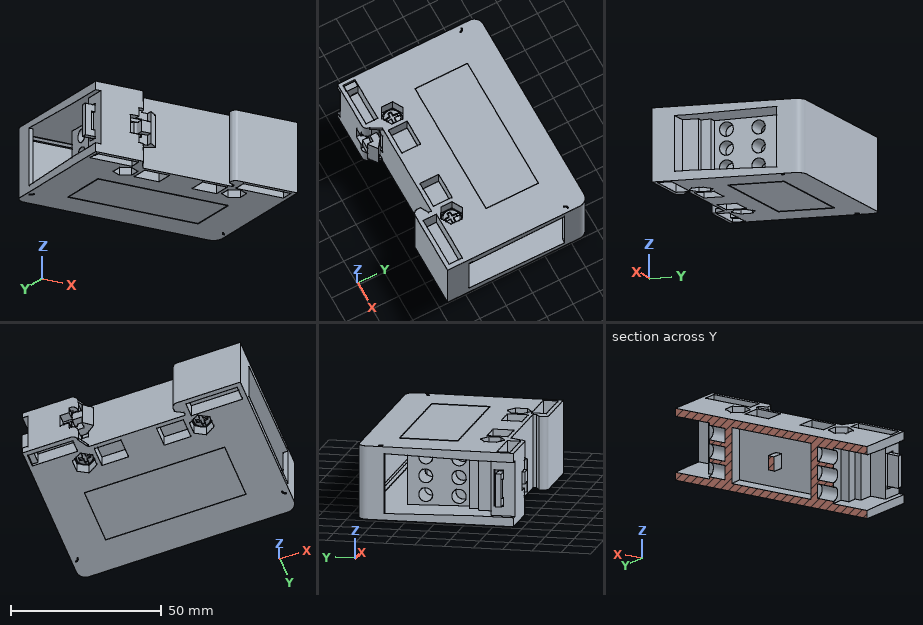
import cadquery as cq
import math


OVERALL_LENGTH = 79.5
LENGTH = 77.8
HEIGHT = 53.4
WIDTH = 25.2
CORNER_R = 3.4
HALF_L = LENGTH / 2
HALF_W = WIDTH / 2

RAIL_Y = 5.6
FOOT_EDGE_R = 1.8
CLIP_WALL_X = -19.7
CLIP_UNDERCUT = 0.2
CLIP_GUSSET_X = -17.5
GUSSET_T = 1.35
NOSE_X = 14.3
NOSE_TOP_Y = 2.95
NOSE_ROOT_X = 17.1
NOSE_ROOT_Y = 4.45

END_WALL = 1.7
BACK_WALL = 0.95
OPENING_TOP_Y = 44.3
OPENING_TOP_HALF_W = 10.25
OPENING_LOW_HALF_W = 9.5
BLOCK_FACE_X = 25.2
BLOCK_INNER_X = 15.9
BLOCK_TOP_Y = 39.3
BLOCK_FOOT_Y = 17.3
SHELF_Y = 13.75
FOOT_TOP_Y = 8.1
BLOCK_STEPS = (0, 3.25, 5.65)
LEDGE_DEPTH = 0.95
LEDGE_CHAMFER = 0.8
FOOT_INSET = 2.0

HOLE_PITCH = 6.4
THROUGH_HOLE_Y = 33.0
THROUGH_HOLE_D = 4.7
BLIND_HOLE_Y = 21.6
BLIND_HOLE_D = 4.85
BLIND_HOLE_DEPTH = 6.35

POST_T = 2.4
POST_W = 5.1
POST_HEAD_W = 13.0
POST_HEAD_H = 1.9
POST_TOP_Y = 40.2

LABEL_SIZE = (50.1, 19.8)
LABEL_CENTER = (-0.15, 31.95)
LABEL_DEPTH = 0.15
SCREW_X = 20.9
SCREW_Y = 11.1
HEX_FLATS = 7.15
HEX_DEPTH = 4.8
SCREW_D = 6.8
SCREW_RIM_H = 0.5
SCREW_CHAMFER = 0.55
SCREW_DOME_H = 0.6
DRIVE_LENGTH = 4.0
DRIVE_W = 1.1
DRIVE_DEPTH = 1.0
SLIT_W = 0.9
SLIT_DEPTH = 0.7
WINDOW_X = (6.35, 15.9)
WINDOW_Y = (7.0, 14.1)
WINDOW_DEPTH = 5.3
SLOT_DEPTH = 6.35
CLIP_SLOT_X = (-37.6, -21.5)
CLIP_SLOT_Y = (1.5, 6.0)
CLIP_SLOT_STEP_X = -35.5
CLIP_SLOT_STEP_DEPTH = 1.2
FIXED_SLOT_X = (18.9, 37.2)
FIXED_SLOT_Y = (1.5, 6.5)
ARC_MARK_X = 37.6
ARC_MARK_Y = 45.15
ARC_MARK_R = 1.3
ARC_MARK_W = 0.3
ARC_MARK_DEPTH = 0.2

CLIP_W = 11.3
CLIP_GAP = 0.55
CLIP_SHELF_Y = 2.15
TAB_X = HALF_L - OVERALL_LENGTH
TAB_Y = (3.9, 5.9)
TAB_WINDOW_Y = (3.9, 7.1)
TAB_WINDOW_DEPTH = 1.2
TAB_NOTCH_X = -38.15
TAB_NOTCH_H = 0.95
CLIP_POCKET_X = -22.2
HOOK_BACK_X = -17.65
HOOK_BOTTOM_X = -17.5
HOOK_TIP = (-14.4, 2.4)
HOOK_TOP_Y = 4.8
HOOK_TONGUE_X = -21.15
TONGUE_W = 4.1
DRIVER_SLOT_X = (-25.45, -20.0)
DRIVER_SLOT_W = 6.4
DRIVER_SLOT_DEPTH = 2.8
TROUGH_RIDGE_X = -22.4


def box(x, y, z):
    """Box spanning the (low, high) pairs x, y and z."""
    size = [high - low for low, high in (x, y, z)]
    return cq.Workplane("XY").box(*size, centered=False).translate((x[0], y[0], z[0]))


def centred_box(x, y, width):
    """Box spanning x and y, centred on the mid-plane of the width."""
    return box(x, y, (-width / 2, width / 2))


def prism(outline, width):
    """Prism of an XY outline, centred on the mid-plane of the width."""
    return outline.close().extrude(width / 2, both=True)


def sunk_box(x, y, depth):
    """Pocket cutter sunk into the upper wide face."""
    return box(x, y, (HALF_W - depth, HALF_W))


def both_ends(shape):
    return shape.union(shape.mirror("YZ"))


def both_faces(shape):
    return shape.union(shape.mirror("XY"))


def body():
    r = FOOT_EDGE_R
    diagonal = r * math.sqrt(0.5)
    wall_x = CLIP_WALL_X - CLIP_UNDERCUT
    round_end_y = r + math.sqrt(r**2 - (r - CLIP_UNDERCUT) ** 2)
    outline = (
        cq.Workplane("XY")
        .moveTo(-HALF_L, 0)
        .lineTo(CLIP_WALL_X - r, 0)
        .threePointArc((CLIP_WALL_X - r + diagonal, r - diagonal), (wall_x, round_end_y))
        .lineTo(wall_x, RAIL_Y)
        .lineTo(NOSE_ROOT_X, RAIL_Y)
        .lineTo(NOSE_ROOT_X, NOSE_ROOT_Y)
        .lineTo(NOSE_X, NOSE_TOP_Y)
        .lineTo(NOSE_X, r)
        .threePointArc((NOSE_X + r - diagonal, r - diagonal), (NOSE_X + r, 0))
        .lineTo(HALF_L, 0)
        .lineTo(HALF_L, HEIGHT)
        .lineTo(-HALF_L, HEIGHT)
    )
    block = prism(outline, WIDTH)
    return block.edges("|Z and >Y").fillet(CORNER_R)


def gussets():
    """Thin sloped webs filling the clip-side rail corner at both wide faces."""
    root_x = CLIP_WALL_X - FOOT_EDGE_R
    web = (
        cq.Workplane("XY", origin=(0, 0, HALF_W - GUSSET_T))
        .moveTo(CLIP_WALL_X, FOOT_EDGE_R)
        .lineTo(CLIP_GUSSET_X, RAIL_Y)
        .lineTo(root_x, RAIL_Y)
        .lineTo(root_x, FOOT_EDGE_R)
        .close()
        .extrude(GUSSET_T)
    )
    return both_faces(web)


def tapered_tunnel(x, low_y, high_y):
    """Cutter along X with the tapered section of the end openings, limited to a range of heights."""
    slope = (OPENING_TOP_HALF_W - OPENING_LOW_HALF_W) / (OPENING_TOP_Y - SHELF_Y)
    half_section = [
        (0, OPENING_LOW_HALF_W),
        (SHELF_Y, OPENING_LOW_HALF_W),
        (HEIGHT, OPENING_LOW_HALF_W + slope * (HEIGHT - SHELF_Y)),
    ]
    mirrored = [(y, -z) for y, z in reversed(half_section)]
    tunnel = (
        cq.Workplane("YZ", origin=(x[0], 0, 0))
        .polyline(half_section + mirrored)
        .close()
        .extrude(x[1] - x[0])
    )
    return tunnel.intersect(centred_box(x, (low_y, high_y), WIDTH))


def back_ledges(room_x):
    """Chamfered ledges where the back wall meets the two wide walls."""
    wall_y = HEIGHT - BACK_WALL
    front_y = wall_y - LEDGE_DEPTH
    floor_z = -OPENING_TOP_HALF_W
    top_z = floor_z + LEDGE_CHAMFER
    ledge = (
        cq.Workplane("YZ", origin=(-room_x, 0, 0))
        .moveTo(front_y - LEDGE_CHAMFER, floor_z)
        .lineTo(front_y, top_z)
        .lineTo(wall_y, top_z)
        .lineTo(wall_y, -HALF_W)
        .lineTo(front_y - LEDGE_CHAMFER, -HALF_W)
        .close()
        .extrude(2 * room_x)
    )
    return both_faces(ledge)


def cavity():
    room_x = HALF_L - END_WALL
    cut = tapered_tunnel((-room_x, room_x), BLOCK_TOP_Y, HEIGHT - BACK_WALL).cut(back_ledges(room_x))
    cut = cut.union(tapered_tunnel((-BLOCK_INNER_X, BLOCK_INNER_X), BLOCK_FOOT_Y, BLOCK_TOP_Y))
    levels = (OPENING_TOP_Y, BLOCK_FOOT_Y, SHELF_Y, FOOT_TOP_Y)
    for high_y, low_y, step in zip(levels, levels[1:], BLOCK_STEPS):
        cut = cut.union(both_ends(tapered_tunnel((-HALF_L, -BLOCK_FACE_X - step), low_y, high_y)))
    return cut


def terminal_holes():
    def row(y, diameter, depth):
        points = [(y, i * HOLE_PITCH) for i in (-1, 0, 1)]
        return (
            cq.Workplane("YZ", origin=(-BLOCK_FACE_X, 0, 0))
            .pushPoints(points)
            .circle(diameter / 2)
            .extrude(depth)
        )

    through = row(THROUGH_HOLE_Y, THROUGH_HOLE_D, BLOCK_FACE_X - BLOCK_INNER_X)
    blind = row(BLIND_HOLE_Y, BLIND_HOLE_D, BLIND_HOLE_DEPTH)
    return both_ends(through.union(blind))


def post():
    x = (-POST_T / 2, POST_T / 2)
    stem = centred_box(x, (BLOCK_FOOT_Y, POST_TOP_Y), POST_W)
    return stem.union(centred_box(x, (POST_TOP_Y - POST_HEAD_H, POST_TOP_Y), POST_HEAD_W))


def screw_pocket():
    """Hexagonal pocket with the domed screw head left standing on its floor."""
    pocket = (
        cq.Workplane("XY", origin=(0, 0, -HEX_DEPTH))
        .polygon(6, HEX_FLATS / math.cos(math.pi / 6))
        .extrude(HEX_DEPTH)
        .rotate((0, 0, 0), (0, 0, 1), 30)
    )
    radius = SCREW_D / 2
    dome_r = radius - SCREW_CHAMFER
    rim_z = SCREW_RIM_H - HEX_DEPTH
    dome_z = rim_z + SCREW_CHAMFER
    top_z = dome_z + SCREW_DOME_H
    head = (
        cq.Workplane("XZ")
        .moveTo(0, -HEX_DEPTH)
        .lineTo(radius, -HEX_DEPTH)
        .lineTo(radius, rim_z)
        .lineTo(dome_r, dome_z)
        .threePointArc((dome_r / 2, top_z - SCREW_DOME_H / 4), (0, top_z))
        .close()
        .revolve(360, (0, 0, 0), (0, 1, 0))
    )
    drive_z = (top_z - DRIVE_DEPTH, top_z)
    long_side = (-DRIVE_LENGTH / 2, DRIVE_LENGTH / 2)
    short_side = (-DRIVE_W / 2, DRIVE_W / 2)
    head = head.cut(box(long_side, short_side, drive_z)).cut(box(short_side, long_side, drive_z))
    slit = box((-SLIT_W / 2, SLIT_W / 2), (-HEX_FLATS, HEX_FLATS), (top_z - SLIT_DEPTH, top_z))
    return pocket.cut(head.cut(slit)).translate((SCREW_X, SCREW_Y, HALF_W))


def arc_mark():
    """Shallow quarter-ring groove near the outer corner."""
    ring = cq.Workplane("XY").circle(ARC_MARK_R).circle(ARC_MARK_R - ARC_MARK_W).extrude(-ARC_MARK_DEPTH)
    quarter = box((-ARC_MARK_R, 0), (0, ARC_MARK_R), (-ARC_MARK_DEPTH, 0))
    return ring.intersect(quarter).translate((ARC_MARK_X, ARC_MARK_Y, HALF_W))


def wide_face_pockets():
    cut = both_ends(screw_pocket())
    cut = cut.union(both_ends(arc_mark()))
    cut = cut.union(both_ends(sunk_box(WINDOW_X, WINDOW_Y, WINDOW_DEPTH)))
    label_x = [LABEL_CENTER[0] + side * LABEL_SIZE[0] / 2 for side in (-1, 1)]
    label_y = [LABEL_CENTER[1] + side * LABEL_SIZE[1] / 2 for side in (-1, 1)]
    cut = cut.union(sunk_box(label_x, label_y, LABEL_DEPTH))
    cut = cut.union(sunk_box((CLIP_SLOT_STEP_X, CLIP_SLOT_X[1]), CLIP_SLOT_Y, SLOT_DEPTH))
    cut = cut.union(sunk_box(CLIP_SLOT_X, CLIP_SLOT_Y, CLIP_SLOT_STEP_DEPTH))
    cut = cut.union(sunk_box(FIXED_SLOT_X, FIXED_SLOT_Y, SLOT_DEPTH))
    return both_faces(cut)


def clip_clearance():
    """Recesses in the clip-side foot that the sliding clip runs in."""
    inset_x = FOOT_INSET - HALF_L
    gap_w = CLIP_W + 2 * CLIP_GAP
    cut = centred_box((-HALF_L, inset_x), (0, FOOT_TOP_Y), 2 * OPENING_LOW_HALF_W)
    cut = cut.union(centred_box((inset_x, inset_x + TAB_WINDOW_DEPTH), TAB_WINDOW_Y, gap_w))
    cut = cut.union(centred_box((CLIP_POCKET_X, CLIP_WALL_X), (0, CLIP_SHELF_Y), gap_w))
    cut = cut.union(centred_box((CLIP_WALL_X, CLIP_GUSSET_X), (0, RAIL_Y + CLIP_GAP), gap_w))
    return cut


def clip():
    """Sliding clip: finger tab, bar through the foot and rail hook."""
    tab = centred_box((TAB_X, CLIP_POCKET_X), TAB_Y, CLIP_W)
    notch_y = (TAB_Y[0], TAB_Y[0] + TAB_NOTCH_H)
    notch = centred_box((TAB_NOTCH_X, FOOT_INSET - HALF_L), notch_y, DRIVER_SLOT_W)
    root_x = CLIP_POCKET_X
    hook = prism(
        cq.Workplane("XY").polyline(
            [
                (root_x, CLIP_SHELF_Y),
                (HOOK_BACK_X, CLIP_SHELF_Y),
                (HOOK_BACK_X, 0),
                (HOOK_BOTTOM_X, 0),
                HOOK_TIP,
                (HOOK_BACK_X, HOOK_TOP_Y),
                (root_x, HOOK_TOP_Y),
            ]
        ),
        CLIP_W,
    )
    tongue = centred_box((HOOK_TONGUE_X, HOOK_BACK_X), (0, CLIP_SHELF_Y), TONGUE_W)
    return tab.cut(notch).union(hook).union(tongue)


def driver_slot():
    """Screwdriver slot around the tongue, with two round-bottomed troughs side by side in its middle."""
    end_x = HOOK_TONGUE_X
    slot = centred_box(DRIVER_SLOT_X, (0, DRIVER_SLOT_DEPTH), DRIVER_SLOT_W)
    slot = slot.cut(centred_box((end_x, DRIVER_SLOT_X[1]), (0, DRIVER_SLOT_DEPTH), TONGUE_W))
    for low_x, high_x in ((DRIVER_SLOT_X[0], TROUGH_RIDGE_X), (TROUGH_RIDGE_X, end_x)):
        trough = (
            cq.Workplane("XY", origin=(0, 0, -TONGUE_W / 2))
            .center((low_x + high_x) / 2, DRIVER_SLOT_DEPTH)
            .circle((high_x - low_x) / 2)
            .extrude(TONGUE_W)
        )
        slot = slot.union(trough)
    return slot


result = body().union(gussets()).cut(cavity()).cut(terminal_holes()).union(post())
result = result.cut(wide_face_pockets()).cut(clip_clearance()).union(clip()).cut(driver_slot()).solids()